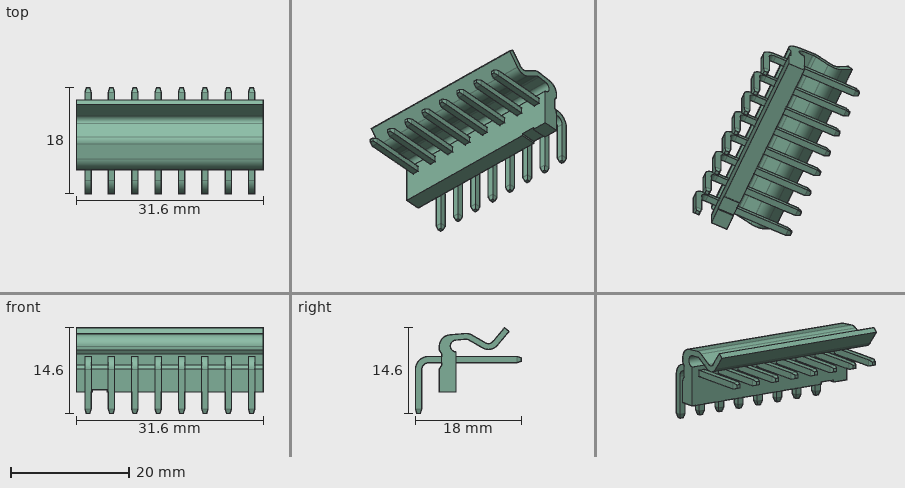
import cadquery as cq
import math


PIN_COUNT = 8
PITCH = 3.95
HOUSING_LENGTH = PIN_COUNT * PITCH

PIN_WIDTH = 1.1
PIN_AXIS_Z = 5.5
TAIL_END_Y = 11.05
LEG_OUTER_Y = -6.95
LEG_END_Z = -3.67
BEND_INNER_RADIUS = 1.17
BEND_OUTER_RADIUS = BEND_INNER_RADIUS + PIN_WIDTH
TIP_LENGTH = 0.8
TIP_WIDTH = 0.6

WALL_FRONT_Y = -2.88
GROOVE_DEPTH = 0.4
GROOVE_FLOOR_Y = WALL_FRONT_Y + GROOVE_DEPTH
GROOVE_BOTTOM_Z = 3.9
GROOVE_TOP_Z = 7.13
GROOVE_SLOPE_HEIGHT = 0.65

LATCH_THICKNESS = 1.0
OUTER_RADIUS = 2.0
INNER_RADIUS = OUTER_RADIUS - LATCH_THICKNESS
HOOK_CENTRE_Z = 7.73
UPRIGHT = 90
ROOF_TILT = 5
ROOF_LENGTH = 2.57
RAMP_TILT = -30
RAMP_LENGTH = 2.65
LIP_TILT = 50
LIP_LENGTH = 3.07

NOTCH_WIDTH = 2.5
NOTCH_HEIGHT = 0.38
NOTCH_X = (1 - PIN_COUNT / 2) * PITCH


def pin_x(index):
    """X position of a pin, counted from the -X end of the row."""
    return (index - (PIN_COUNT - 1) / 2) * PITCH


def along(tilt):
    """Unit (Y, Z) vector pointing along a strip that climbs toward +Y at this angle."""
    return cq.Vector(math.cos(math.radians(tilt)), math.sin(math.radians(tilt)))


def up_from(tilt):
    """Unit (Y, Z) vector square to such a strip, on its upper side."""
    return along(tilt + UPRIGHT)


def extrude_section(sketch, width):
    """Extrude a closed (Y, Z) outline symmetrically along X."""
    return sketch.close().extrude(width / 2, both=True)


def housing_section():
    """Wall and latch outline, drawn from the wall's lower rear corner."""
    mid_hook = (UPRIGHT + ROOF_TILT) / 2
    mid_crest = (ROOF_TILT + RAMP_TILT) / 2
    mid_dip = (RAMP_TILT + LIP_TILT) / 2

    hook = cq.Vector(WALL_FRONT_Y + OUTER_RADIUS, HOOK_CENTRE_Z)
    crest = hook + along(ROOF_TILT) * ROOF_LENGTH
    dip = crest + along(RAMP_TILT) * RAMP_LENGTH + up_from(RAMP_TILT) * (OUTER_RADIUS + INNER_RADIUS)

    throat = hook + along(ROOF_TILT) * (-hook.x / along(ROOF_TILT).x)

    lip_top = dip - up_from(LIP_TILT) * INNER_RADIUS + along(LIP_TILT) * LIP_LENGTH
    lip_bottom = lip_top - up_from(LIP_TILT) * LATCH_THICKNESS

    def above(centre, radius, tilt):
        """Point of a round where its upper side has this tilt."""
        return (centre + up_from(tilt) * radius).toTuple()[:2]

    def below(centre, radius, tilt):
        """Point of a round where its lower side has this tilt."""
        return (centre - up_from(tilt) * radius).toTuple()[:2]

    return (
        cq.Workplane("YZ")
        .lineTo(WALL_FRONT_Y, 0)
        .lineTo(WALL_FRONT_Y, GROOVE_BOTTOM_Z)
        .lineTo(GROOVE_FLOOR_Y, GROOVE_BOTTOM_Z + GROOVE_SLOPE_HEIGHT)
        .lineTo(GROOVE_FLOOR_Y, GROOVE_TOP_Z - GROOVE_SLOPE_HEIGHT)
        .lineTo(WALL_FRONT_Y, GROOVE_TOP_Z)
        .lineTo(WALL_FRONT_Y, HOOK_CENTRE_Z)
        .threePointArc(above(hook, OUTER_RADIUS, mid_hook), above(hook, OUTER_RADIUS, ROOF_TILT))
        .lineTo(*above(crest, OUTER_RADIUS, ROOF_TILT))
        .threePointArc(above(crest, OUTER_RADIUS, mid_crest), above(crest, OUTER_RADIUS, RAMP_TILT))
        .lineTo(*below(dip, INNER_RADIUS, RAMP_TILT))
        .threePointArc(below(dip, INNER_RADIUS, mid_dip), below(dip, INNER_RADIUS, LIP_TILT))
        .lineTo(lip_top.x, lip_top.y)
        .lineTo(lip_bottom.x, lip_bottom.y)
        .lineTo(*below(dip, OUTER_RADIUS, LIP_TILT))
        .threePointArc(below(dip, OUTER_RADIUS, mid_dip), below(dip, OUTER_RADIUS, RAMP_TILT))
        .lineTo(*above(crest, INNER_RADIUS, RAMP_TILT))
        .threePointArc(above(crest, INNER_RADIUS, mid_crest), above(crest, INNER_RADIUS, ROOF_TILT))
        .lineTo(*above(throat, INNER_RADIUS, ROOF_TILT))
        .threePointArc(above(throat, INNER_RADIUS, UPRIGHT), below(throat, INNER_RADIUS, 0))
    )


def make_housing():
    """Wall with latch, notch and one square hole per pin."""
    housing = extrude_section(housing_section(), HOUSING_LENGTH)

    notch = cq.Workplane("XY").box(
        NOTCH_WIDTH, -WALL_FRONT_Y, NOTCH_HEIGHT, centered=(True, False, False)
    )
    housing = housing.cut(notch.translate((NOTCH_X, WALL_FRONT_Y, 0)))

    hole = cq.Workplane("XY").box(PIN_WIDTH, -WALL_FRONT_Y, PIN_WIDTH, centered=(True, False, True))
    for index in range(PIN_COUNT):
        housing = housing.cut(hole.translate((pin_x(index), WALL_FRONT_Y, PIN_AXIS_Z)))
    return housing


def make_pin(x):
    """Square pin with a horizontal tail, a bend, a downward leg and two tapered tips."""
    tail_shoulder_y = TAIL_END_Y - TIP_LENGTH
    leg_shoulder_z = LEG_END_Z + TIP_LENGTH
    leg_axis_y = LEG_OUTER_Y + PIN_WIDTH / 2
    bend_y = LEG_OUTER_Y + BEND_OUTER_RADIUS
    top_z = PIN_AXIS_Z + PIN_WIDTH / 2
    bend_z = top_z - BEND_OUTER_RADIUS

    outline = (
        cq.Workplane("YZ")
        .moveTo(tail_shoulder_y, top_z)
        .lineTo(bend_y, top_z)
        .radiusArc((LEG_OUTER_Y, bend_z), -BEND_OUTER_RADIUS)
        .lineTo(LEG_OUTER_Y, leg_shoulder_z)
        .lineTo(LEG_OUTER_Y + PIN_WIDTH, leg_shoulder_z)
        .lineTo(LEG_OUTER_Y + PIN_WIDTH, bend_z)
        .radiusArc((bend_y, top_z - PIN_WIDTH), BEND_INNER_RADIUS)
        .lineTo(tail_shoulder_y, top_z - PIN_WIDTH)
    )
    body = extrude_section(outline, PIN_WIDTH)

    tail_end = cq.Plane((0, tail_shoulder_y, PIN_AXIS_Z), xDir=(1, 0, 0), normal=(0, 1, 0))
    leg_end = cq.Plane((0, leg_axis_y, leg_shoulder_z), xDir=(1, 0, 0), normal=(0, 0, -1))
    for plane in (tail_end, leg_end):
        body = body.union(make_tip(plane))
    return body.translate((x, 0, 0))


def make_tip(plane):
    """Tapered square pin tip standing on the given plane."""
    return (
        cq.Workplane(plane)
        .rect(PIN_WIDTH, PIN_WIDTH)
        .workplane(offset=TIP_LENGTH)
        .rect(TIP_WIDTH, TIP_WIDTH)
        .loft(ruled=True)
    )


housing = make_housing()
pins = [make_pin(pin_x(index)) for index in range(PIN_COUNT)]

result = cq.Compound.makeCompound([housing.val(), *[pin.val() for pin in pins]])